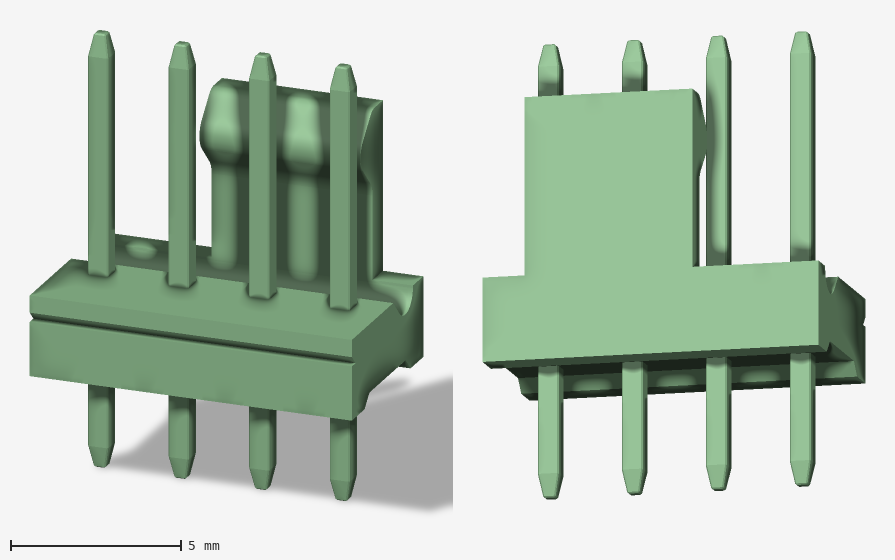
import cadquery as cq
import math


PITCH = 2.54
PIN_COUNT = 4
PIN_SIZE = 0.635
PIN_EDGE = 0.04
PIN_TIP_SIZE = 0.36
PIN_TIP_LENGTH = 0.69
PIN_BELOW = 3.515
PIN_LENGTH = 13.59
PIN_Y = 2.54

BASE_LENGTH = PIN_COUNT * PITCH
BASE_DEPTH = 5.72
BASE_HEIGHT = 2.53
FOOT_DEPTH = 1.02
FOOT_HEIGHT = 0.39
NOTCH_TOP = 0.54
NOTCH_BOTTOM = 0.83
NOTCH_DEPTH = NOTCH_BOTTOM - NOTCH_TOP

WALL_THICKNESS = 0.83
GROOVE_RADIUS = 0.62
GROOVE_DEPTH = 0.70

LATCH_LENGTH = 2 * PITCH
LATCH_START_X = 1.5 * PITCH
LATCH_HEIGHT = 5.345
NOSE_REACH = 1.80
NOSE_RADIUS = 0.65
NOSE_DROP = 1.20
TOP_RADIUS = 0.5
ROOT_RADIUS = 0.635

COS_45 = math.cos(math.radians(45))
LATCH_TOP = BASE_HEIGHT + LATCH_HEIGHT
WALL_FRONT_Y = BASE_DEPTH - WALL_THICKNESS


def along_x(outline, start_x, length):
    """Extrude a closed YZ outline from start_x in the +X direction."""
    return outline.close().extrude(length).translate((start_x, 0, 0))


def make_base():
    groove_y = WALL_FRONT_Y - GROOVE_RADIUS
    groove_z = BASE_HEIGHT - GROOVE_DEPTH + GROOVE_RADIUS
    ramp_y = groove_y - GROOVE_RADIUS * COS_45
    ramp_z = groove_z - GROOVE_RADIUS * COS_45
    ramp_top_y = ramp_y - (BASE_HEIGHT - ramp_z)
    recess_front_y = FOOT_DEPTH + FOOT_HEIGHT
    recess_rear_y = BASE_DEPTH - FOOT_DEPTH - FOOT_HEIGHT

    outline = (
        cq.Workplane("YZ")
        .moveTo(0, 0)
        .lineTo(FOOT_DEPTH, 0)
        .lineTo(recess_front_y, FOOT_HEIGHT)
        .lineTo(recess_rear_y, FOOT_HEIGHT)
        .lineTo(BASE_DEPTH - FOOT_DEPTH, 0)
        .lineTo(BASE_DEPTH, 0)
        .lineTo(BASE_DEPTH, BASE_HEIGHT)
        .lineTo(WALL_FRONT_Y, BASE_HEIGHT)
        .lineTo(WALL_FRONT_Y, groove_z)
        .threePointArc((groove_y, groove_z - GROOVE_RADIUS), (ramp_y, ramp_z))
        .lineTo(ramp_top_y, BASE_HEIGHT)
        .lineTo(0, BASE_HEIGHT)
        .lineTo(0, BASE_HEIGHT - NOTCH_TOP)
        .lineTo(NOTCH_DEPTH, BASE_HEIGHT - NOTCH_BOTTOM)
        .lineTo(0, BASE_HEIGHT - NOTCH_BOTTOM)
    )
    return along_x(outline, 0, BASE_LENGTH)


def make_latch():
    nose_y = BASE_DEPTH - NOSE_REACH + NOSE_RADIUS
    nose_z = LATCH_TOP - NOSE_DROP
    nose_offset = NOSE_RADIUS * COS_45
    nose_tangent_y = nose_y - nose_offset
    upper_z = nose_z + nose_offset
    lower_z = nose_z - nose_offset

    top_corner_y = nose_tangent_y + (LATCH_TOP - upper_z)
    root_corner_z = lower_z - (WALL_FRONT_Y - nose_tangent_y)

    tangent_ratio = math.tan(math.radians(45 / 2))
    top_tangent = TOP_RADIUS * tangent_ratio
    root_tangent = ROOT_RADIUS * tangent_ratio

    outline = (
        cq.Workplane("YZ")
        .moveTo(BASE_DEPTH, BASE_HEIGHT)
        .lineTo(BASE_DEPTH, LATCH_TOP)
        .lineTo(top_corner_y + top_tangent, LATCH_TOP)
        .tangentArcPoint(
            (top_corner_y - top_tangent * COS_45, LATCH_TOP - top_tangent * COS_45), relative=False
        )
        .lineTo(nose_tangent_y, upper_z)
        .threePointArc((nose_y - NOSE_RADIUS, nose_z), (nose_tangent_y, lower_z))
        .lineTo(WALL_FRONT_Y - root_tangent * COS_45, root_corner_z + root_tangent * COS_45)
        .tangentArcPoint((WALL_FRONT_Y, root_corner_z - root_tangent), relative=False)
        .lineTo(WALL_FRONT_Y, BASE_HEIGHT)
    )
    return along_x(outline, LATCH_START_X, LATCH_LENGTH)


def bevelled_square(workplane, size):
    """Square centred on the workplane origin, its corners cut by PIN_EDGE."""
    half = size / 2
    flat = half - PIN_EDGE
    corners = [
        (half, flat),
        (flat, half),
        (-flat, half),
        (-half, flat),
        (-half, -flat),
        (-flat, -half),
        (flat, -half),
        (half, -flat),
    ]
    return workplane.polyline(corners).close()


def make_pin():
    shank_length = PIN_LENGTH - 2 * PIN_TIP_LENGTH
    shank = bevelled_square(cq.Workplane("XY"), PIN_SIZE).extrude(shank_length)
    tip_base = bevelled_square(cq.Workplane("XY"), PIN_SIZE)
    tip = bevelled_square(tip_base.workplane(offset=PIN_TIP_LENGTH), PIN_TIP_SIZE).loft(ruled=True)
    tip = tip.faces(">Z").chamfer(PIN_EDGE)
    upper_tip = tip.translate((0, 0, shank_length))
    lower_tip = tip.mirror("XY")
    pin = shank.union(upper_tip).union(lower_tip)
    return pin.translate((0, 0, PIN_TIP_LENGTH - PIN_BELOW))


result = make_base().union(make_latch())

pin = make_pin()
for index in range(PIN_COUNT):
    pin_x = (index + 0.5) * PITCH
    result = result.union(pin.translate((pin_x, PIN_Y, 0)))